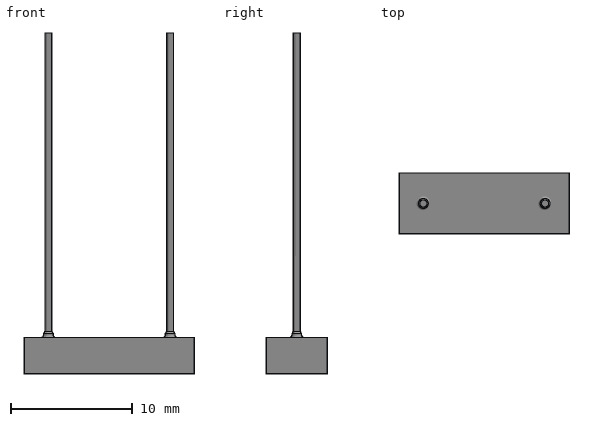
import cadquery as cq
import math

body_length = 14.0
body_width = 5.0
body_height = 3.0

overall_height = 28.0
pin_diameter = 0.6
pin_pitch = 10.0

collar_neck_diameter = 0.8
skirt_radius = 0.2
neck_height = 0.1
shoulder_height = 0.2


def make_body():
    return cq.Workplane("XY").box(
        body_length, body_width, body_height, centered=(True, True, False)
    )


def make_pin(x):
    """Revolve a pin together with its collar, starting inside the body for a sound joint."""
    neck_radius = collar_neck_diameter / 2
    base_radius = neck_radius + skirt_radius
    pin_radius = pin_diameter / 2
    neck_bottom = body_height + skirt_radius
    neck_top = neck_bottom + neck_height
    collar_top = neck_top + shoulder_height
    embedded_bottom = body_height / 2
    arc_offset = skirt_radius * (1 - math.sqrt(0.5))
    skirt_middle = (neck_radius + arc_offset, neck_bottom - skirt_radius * math.sqrt(0.5))
    pin = (
        cq.Workplane("XZ")
        .moveTo(0, embedded_bottom)
        .lineTo(base_radius, embedded_bottom)
        .lineTo(base_radius, body_height)
        .threePointArc(skirt_middle, (neck_radius, neck_bottom))
        .lineTo(neck_radius, neck_top)
        .lineTo(pin_radius, collar_top)
        .lineTo(pin_radius, overall_height)
        .lineTo(0, overall_height)
        .close()
        .revolve(360, (0, 0), (0, 1))
    )
    return pin.translate((x, 0, 0))


result = make_body()
for side in (-1, 1):
    result = result.union(make_pin(side * pin_pitch / 2))